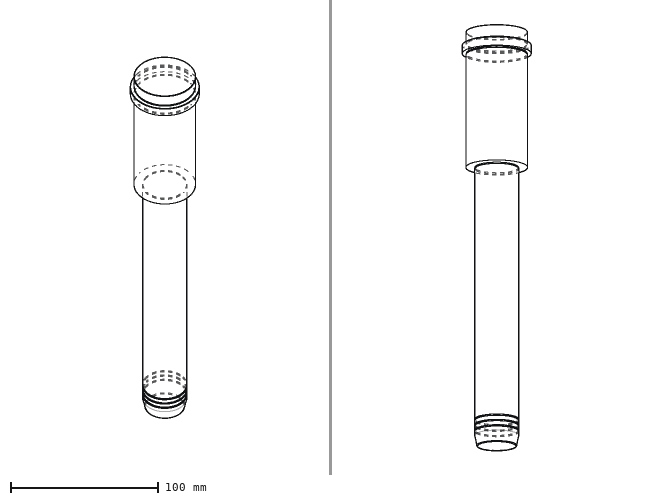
import cadquery as cq

total_length = 290.0

head_diameter = 42.0
head_length = 94.8
edge_chamfer = 0.3
collar_diameter = 47.0
collar_thickness = 6.0
cap_height = 9.0

shaft_diameter = 30.2
tip_diameter = 27.3
tip_length = 7.5
tip_chamfer = 0.5
flare_depth = 0.12

groove_width = 1.0
groove_depth = 0.3
shaft_groove_count = 3
shaft_groove_pitch = 3.8

head_bottom = total_length - head_length
collar_top = total_length - cap_height
collar_bottom = collar_top - collar_thickness


def disc(diameter, bottom, height):
    """Solid cylinder about the Z axis."""
    return cq.Workplane("XY").workplane(offset=bottom).circle(diameter / 2).extrude(height)


def lead_in():
    """Tapered tip whose side bows slightly inward and ends in a small chamfer."""
    shaft_radius = shaft_diameter / 2
    tip_radius = tip_diameter / 2
    middle_radius = (shaft_radius + tip_radius) / 2 - flare_depth
    return (
        cq.Workplane("XZ")
        .moveTo(0, tip_length)
        .lineTo(shaft_radius, tip_length)
        .threePointArc((middle_radius, (tip_length + tip_chamfer) / 2), (tip_radius, tip_chamfer))
        .lineTo(tip_radius - tip_chamfer, 0)
        .lineTo(0, 0)
        .close()
        .revolve(360, (0, 0, 0), (0, 1, 0))
    )


def ring_groove(diameter, bottom):
    """Ring of material to remove from a wall of the given diameter."""
    core = disc(diameter - 2 * groove_depth, bottom, groove_width)
    return disc(diameter, bottom, groove_width).cut(core)


shaft = disc(shaft_diameter, tip_length, head_bottom - tip_length).union(lead_in())
for index in range(shaft_groove_count):
    groove_bottom = tip_length + (index + 1) * shaft_groove_pitch - groove_width
    shaft = shaft.cut(ring_groove(shaft_diameter, groove_bottom))
shaft = shaft.cut(ring_groove(shaft_diameter, head_bottom - groove_width))

head = disc(head_diameter, head_bottom, head_length).faces(">Z").chamfer(edge_chamfer)
for groove_bottom in (collar_top, collar_bottom - groove_width):
    head = head.cut(ring_groove(head_diameter, groove_bottom))
collar = disc(collar_diameter, collar_bottom, collar_thickness).faces(">Z").chamfer(edge_chamfer)

result = shaft.union(head).union(collar)